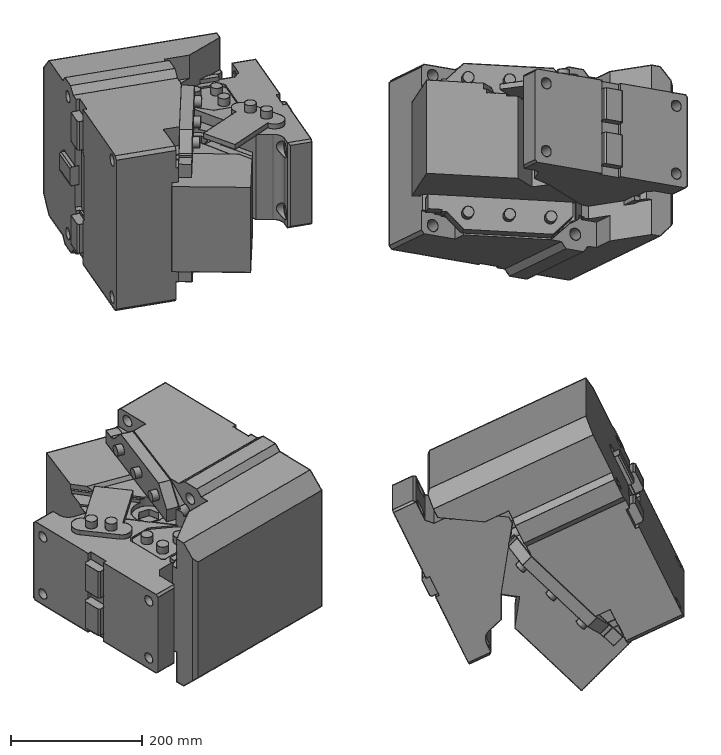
import cadquery as cq
import math


OVERALL_LENGTH = 397.0
EAR_SPAN = 290.0
KEY_RISE = 8.7

BASE_LENGTH = 345.5
BASE_DEPTH = 270.0
BASE_HEIGHT = 270.0
TOP = BASE_HEIGHT / 2
FRONT_CHAMFER = 25.5
BACK_CHAMFER = 6.0
END_CHAMFER = 5.0

PIT_RIM_X = 40.5
PIT_FLOOR_Y = 176.5
PIT_LEFT_X = 97.0
PIT_CAM_X = 109.5
CAM_ANGLE = 34.3
PIT_SLOPE = (BASE_DEPTH - PIT_FLOOR_Y) / (PIT_LEFT_X - PIT_RIM_X)

BED_ANGLE = 20.0
BED_X = 158.5
BED_Y = 168.0

HALF_WIDTH = 74.2
SLIDE_START = -37.5
SLIDE_SINK = 10.0
SLIDE_CREST = 110.5
SLIDE_SHOULDER_U = 72.0
SLIDE_CAM_END_X = 206.5

EAR_START = 91.3
EAR_FLAT_START = 101.0
EAR_FLAT_ENDS = {1: 127.5, -1: 131.5}
EAR_END = 140.0

GIB_INNER_Z = 79.5
GIB_OUTER_Z = 132.0
GIB_TAB_Z = 102.5
GIB_THICKNESS = 20.0
GIB_LEFT_CHAMFER = 30.0
GIB_RIGHT_START = 139.0
GIB_RIGHT_CHAMFER = 26.5
GIB_STEP_U = 172.3
GIB_END_U = 194.0
GIB_SCREW_Z = 107.0
GIB_SCREW_START = 5.0
GIB_SCREW_PITCH = 64.5
GIB_SCREW_RADIUS = 8.7
GIB_SCREW_HEAD = 11.0

POCKET_X = 78.0
POCKET_STEP_X = 104.5
POCKET_NOSE_X = 127.0
POCKET_NOSE_RADIUS = 11.0
POCKET_STEP = 2.0
NOTCH_Y = 96.0
NOTCH_STEPS = [(285.5, 102.5), (311.0, 101.0), (322.0, 99.2)]
HOLE_RADIUS = 9.5
HOLE_X = [115.0, 325.0]
HOLE_Z = 119.5

LEDGE_RIM_X = 49.5
STOP_Y = 260.5
STOP_LEFT_X = 55.5
STOP_RIGHT_X = 65.0
LEDGE_Z = 79.5
STOP_Z = 81.5

KEY_WIDTH = 33.0
KEY_LENGTH = 50.0
KEY_CHAMFER = 2.8
KEYWAY_DEPTH = 6.0
FOOT_KEYWAY_X = 170.3
FOOT_KEY_Z = 89.7
RELIEF_WIDTH = 41.3
RELIEF_HALF_LENGTH = 60.0
RELIEF_CHAMFER = 4.8
RELIEF_DEPTH = 10.0
CROSS_KEY_START = 100.5

FLANGE_LEFT = 15.5
FLANGE_RIGHT = 286.0
FLANGE_UNDER_Y = 296.5
FLANGE_FACE_Y = 334.5
FLANGE_CHAMFER = 3.5
NECK_LEFT_X = 61.0
NECK_CHAMFER = 10.5
NECK_FILLET = 18.3
NECK_FILLET_X = 268.0
NECK_LEAN = 71.6
NECK_CORNER_Y = 259.5
DRIVER_KEY_X = 151.0
DRIVER_KEY_Z = 35.5
BOLT_INSET_X = 20.0
BOLT_Z = 54.0
BOLT_RADIUS = 8.7
BOLT_HEAD_RADIUS = 13.0
BOLT_HEAD_DEPTH = 4.0

PLATE_TOP_Z = 82.5
SCREW_HEAD = 13.0
SCREW_RADIUS = 9.0
PLATE_THICKNESS = PLATE_TOP_Z - HALF_WIDTH
ARM_ANGLE = 35.0
ARM_X = 194.5
ARM_Y = 279.0
ARM_REACH = 100.0
ARM_WIDTH = 60.0
HEAD_SPACING = 62.0
HEAD_RADIUS = 16.0
ARM_SCREWS = [(182.2, 270.7), (207.5, 288.0)]
SHIELD_LEFT = 75.0
SHIELD_RIGHT = 150.0
SHIELD_BACK = 265.0
SHIELD_CHAMFER = 8.5
SHIELD_RECESS_CHAMFER = 4.5
SHIELD_FLOOR_Z = 63.5
SHIELD_TOP_Z = 71.5
SHIELD_SIDE_Y = 223.0
SHIELD_TIP_X = 124.0
SHIELD_SCREWS = [(95.5, 245.7), (130.2, 245.7), (95.5, 210.8)]

ARM_FLOOR_Z = 59.5
RIM_Z = 65.5
SIDE_FLOOR_Z = 68.3
CAM_BAND_Z = 56.5
ARM_RECESS_X = 235.5
ARM_RECESS_Y = 178.5
ARM_RECESS_ANGLE = 32.6
RIM_WIDTH = 3.5
SIDE_END_U = 104.8
SIDE_RAMP = 4.8
CAM_BAND_WIDTH = 20.5
SHOULDER_BAND_WIDTH = 14.5
BORE_X = 193.7
BORE_Y = 180.0
BORE_RADIUS = 26.5
BORE_FLOOR_Z = 51.5
SOCKET_ACROSS = 35.0
SOCKET_TURN = 13.0
SOCKET_FLOOR_Z = 39.5


def from_bed(u, v):
    """XY point at distance u down the bed and height v above it."""
    angle = math.radians(BED_ANGLE)
    x = BED_X + u * math.cos(angle) + v * math.sin(angle)
    return (x, BED_Y - u * math.sin(angle) + v * math.cos(angle))


def bed_y(x):
    return BED_Y - (x - BED_X) * math.tan(math.radians(BED_ANGLE))


def pit_y(x):
    """Height of the left pit wall at x."""
    return BASE_DEPTH - (x - PIT_RIM_X) * PIT_SLOPE


def cam_y(x):
    """Height of the face where driver and slide meet at x."""
    return PIT_FLOOR_Y + (x - PIT_CAM_X) * math.tan(math.radians(CAM_ANGLE))


def slab(points, z_low, z_high):
    """Polygon in XY, filled between two heights."""
    return cq.Workplane("XY").workplane(offset=z_low).polyline(points).close().extrude(z_high - z_low)


def block(x_low, x_high, y_low, y_high, z_low, z_high):
    size = (x_high - x_low, y_high - y_low, z_high - z_low)
    return cq.Workplane("XY").box(*size, centered=False).translate((x_low, y_low, z_low))


def plan(points, y_low, y_high):
    """Polygon in XZ, filled between two Y positions."""
    return cq.Workplane("XZ", origin=(0, y_low, 0)).polyline(points).close().extrude(y_low - y_high)


def both_sides(shape):
    """The shape together with its mirror image across the middle plane."""
    return shape.union(shape.mirror("XY"))


def post(points, radius, z_low, z_high):
    wp = cq.Workplane("XY").workplane(offset=z_low)
    return wp.pushPoints(points).circle(radius).extrude(z_high - z_low)


BED_COS = math.cos(math.radians(BED_ANGLE))
BED_SIN = math.sin(math.radians(BED_ANGLE))
SLIDE_END = (OVERALL_LENGTH - BED_X - SLIDE_CREST * BED_SIN) / BED_COS
SLIDE_FOOT = from_bed(SLIDE_START, 0)
TIP_RISE = (cam_y(SLIDE_FOOT[0]) - SLIDE_FOOT[1]) / (
    BED_COS - BED_SIN * math.tan(math.radians(CAM_ANGLE))
)
SLIDE_TIP = from_bed(SLIDE_START, TIP_RISE)
CAM_END = (SLIDE_CAM_END_X, cam_y(SLIDE_CAM_END_X))


def base_block():
    outline = [
        (0, 0),
        (BASE_LENGTH, 0),
        (BASE_LENGTH, bed_y(BASE_LENGTH)),
        (SLIDE_FOOT[0], bed_y(SLIDE_FOOT[0])),
        SLIDE_TIP,
        (PIT_CAM_X, PIT_FLOOR_Y),
        (PIT_LEFT_X, PIT_FLOOR_Y),
        (PIT_RIM_X, BASE_DEPTH),
        (0, BASE_DEPTH),
    ]
    body = slab(outline, -TOP, TOP)
    body = body.edges("|Y and <X").chamfer(FRONT_CHAMFER)
    body = body.edges("|Y and >X").chamfer(END_CHAMFER)
    return body.faces("<X").edges(">Y").chamfer(BACK_CHAMFER)


def ears():
    """Ridges along Y on the upper and lower faces, up to the pocket edge."""
    shape = cq.Workplane("XY")
    for side, flat_end in EAR_FLAT_ENDS.items():
        points = [
            (EAR_START, side * TOP),
            (EAR_FLAT_START, side * EAR_SPAN / 2),
            (flat_end, side * EAR_SPAN / 2),
            (EAR_END, side * TOP),
        ]
        root = [(EAR_END, 0), (EAR_START, 0)]
        shape = shape.add(plan(points + root, 0, BED_Y))
    return shape.combine()


def bolt_pocket():
    """Recess beside the pit. A rounded nose and a ramp lead from its floor to the upper face."""
    nose_top_z = TOP - (BED_X - POCKET_NOSE_X)
    floor_z = nose_top_z - POCKET_NOSE_RADIUS
    nose_rise = POCKET_NOSE_RADIUS * math.sin(math.pi / 4)
    ramp = (
        cq.Workplane("XZ", origin=(0, BED_Y, 0))
        .moveTo(POCKET_STEP_X, TOP)
        .lineTo(POCKET_STEP_X, floor_z)
        .lineTo(POCKET_NOSE_X - POCKET_NOSE_RADIUS, floor_z)
        .threePointArc((POCKET_NOSE_X - nose_rise, floor_z + nose_rise), (POCKET_NOSE_X, nose_top_z))
        .lineTo(BED_X, TOP)
        .close()
        .extrude(BED_Y - BASE_DEPTH)
    )
    floor = block(POCKET_X, POCKET_STEP_X, BED_Y, BASE_DEPTH, floor_z + POCKET_STEP, TOP)
    return both_sides(ramp.union(floor))


def end_notch():
    """Stepped recess for the mounting bolt at the low end of the bed."""
    shape = cq.Workplane("XY")
    for start_x, floor_z in NOTCH_STEPS:
        shape = shape.add(block(start_x, BASE_LENGTH, NOTCH_Y, BED_Y, floor_z, TOP))
    return both_sides(shape.combine())


def slide_channel():
    points = [
        from_bed(SLIDE_START, -SLIDE_SINK),
        from_bed(SLIDE_END, -SLIDE_SINK),
        from_bed(SLIDE_END, SLIDE_CREST),
        from_bed(SLIDE_START, SLIDE_CREST),
    ]
    return slab(points, -HALF_WIDTH, HALF_WIDTH)


def gib():
    """Guide bar on the bed with clipped outer corners and three screw heads."""
    low_left = GIB_OUTER_Z - GIB_LEFT_CHAMFER
    low_right = GIB_OUTER_Z - GIB_RIGHT_CHAMFER
    right_u = GIB_RIGHT_START + GIB_RIGHT_CHAMFER
    points = [
        (-GIB_LEFT_CHAMFER, GIB_INNER_Z),
        (-GIB_LEFT_CHAMFER, low_left),
        (0, GIB_OUTER_Z),
        (GIB_RIGHT_START, GIB_OUTER_Z),
        (right_u, low_right),
        (GIB_STEP_U, low_right),
        (GIB_STEP_U, GIB_TAB_Z),
        (GIB_END_U, GIB_TAB_Z),
        (GIB_END_U, GIB_INNER_Z),
    ]
    bar = plan(points, 0, GIB_THICKNESS)
    heads = [(GIB_SCREW_START + i * GIB_SCREW_PITCH, GIB_SCREW_Z) for i in range(3)]
    screws = cq.Workplane("XZ").pushPoints(heads).circle(GIB_SCREW_RADIUS)
    bar = bar.union(screws.extrude(-GIB_THICKNESS - GIB_SCREW_HEAD))
    return bar.rotate((0, 0, 0), (0, 0, 1), -BED_ANGLE).translate((BED_X, BED_Y, 0))


def pit_ledge():
    """Low ledge at the rim of the pit, and the stop plates beside the driver's neck."""
    ledge = [
        (PIT_RIM_X, BASE_DEPTH),
        (LEDGE_RIM_X, BASE_DEPTH),
        (STOP_LEFT_X, STOP_Y),
        (STOP_LEFT_X, pit_y(STOP_LEFT_X)),
    ]
    stop = [
        (STOP_LEFT_X, STOP_Y),
        (STOP_RIGHT_X, STOP_Y),
        (STOP_RIGHT_X, pit_y(STOP_RIGHT_X)),
        (STOP_LEFT_X, pit_y(STOP_LEFT_X)),
    ]
    return slab(ledge, -LEDGE_Z, LEDGE_Z).union(both_sides(slab(stop, HALF_WIDTH, STOP_Z)))


def foot_keyways():
    half_width = KEY_WIDTH / 2
    across = block(
        FOOT_KEYWAY_X - half_width, FOOT_KEYWAY_X + half_width, 0, KEYWAY_DEPTH, -TOP, TOP
    )
    relief = cq.Workplane("XZ").center(FOOT_KEYWAY_X, 0).rect(RELIEF_WIDTH, 2 * RELIEF_HALF_LENGTH)
    relief = relief.extrude(-RELIEF_DEPTH).edges("|Y").chamfer(RELIEF_CHAMFER)
    slot = block(CROSS_KEY_START, FOOT_KEYWAY_X, 0, KEYWAY_DEPTH, -half_width, half_width)
    slot_end = cq.Workplane("XZ").center(CROSS_KEY_START, 0).circle(half_width).extrude(-KEYWAY_DEPTH)
    return across.union(relief).union(slot).union(slot_end)


def foot_key(x, z, along):
    """Key in the foot face, its long side along X or Z."""
    size_x, size_z = (KEY_LENGTH, KEY_WIDTH) if along == "X" else (KEY_WIDTH, KEY_LENGTH)
    key = cq.Workplane("XY").box(size_x, KEYWAY_DEPTH + KEY_RISE, size_z)
    key = key.faces("<Y").edges("|" + along).chamfer(KEY_CHAMFER)
    return key.translate((x, (KEYWAY_DEPTH - KEY_RISE) / 2, z))


def make_base():
    body = base_block().union(ears())
    body = body.cut(bolt_pocket()).cut(end_notch()).cut(slide_channel())
    body = body.union(both_sides(gib())).union(pit_ledge())
    centres = [(x, side * HOLE_Z) for x in HOLE_X for side in (1, -1)]
    body = body.cut(cq.Workplane("XZ").pushPoints(centres).circle(HOLE_RADIUS).extrude(-BASE_DEPTH))
    body = body.cut(foot_keyways())
    for side in (1, -1):
        body = body.union(foot_key(FOOT_KEYWAY_X, side * FOOT_KEY_Z, "Z"))
    cross_key_x = CROSS_KEY_START + KEY_LENGTH / 2
    return body.union(foot_key(cross_key_x, 0, "X"))


def along_cam(point, along, normal, degrees=CAM_ANGLE):
    """Point moved along the cam direction and towards the driver."""
    angle = math.radians(degrees)
    x = point[0] + along * math.cos(angle) - normal * math.sin(angle)
    return (x, point[1] + along * math.sin(angle) + normal * math.cos(angle))


SHOULDER = from_bed(SLIDE_SHOULDER_U, SLIDE_CREST)
SHOULDER_DROP = (cam_y(SHOULDER[0]) - SHOULDER[1]) * math.cos(math.radians(CAM_ANGLE))


def cam_strip(start, top, bottom, z_floor, degrees=CAM_ANGLE):
    """Cutter along the cam direction, open at the upper face of the slide."""
    ends = [(0, top), (OVERALL_LENGTH, top), (OVERALL_LENGTH, bottom), (0, bottom)]
    points = [along_cam(start, along, normal, degrees) for along, normal in ends]
    return slab(points, z_floor, HALF_WIDTH)


def make_slide():
    outline = [
        from_bed(SLIDE_START, -SLIDE_SINK),
        from_bed(SLIDE_END, -SLIDE_SINK),
        from_bed(SLIDE_END, SLIDE_CREST),
        SHOULDER,
        along_cam(CAM_END, 0, -SHOULDER_DROP),
        CAM_END,
        SLIDE_TIP,
    ]
    body = slab(outline, -HALF_WIDTH, HALF_WIDTH)

    ramp_end_u = SIDE_END_U + SIDE_RAMP
    ramp = [
        (SLIDE_START, SIDE_FLOOR_Z),
        (SIDE_END_U, SIDE_FLOOR_Z),
        (ramp_end_u, HALF_WIDTH),
        (SLIDE_START, HALF_WIDTH),
    ]
    side_cut = plan(ramp, -SLIDE_SINK, SLIDE_CREST)
    side_cut = side_cut.rotate((0, 0, 0), (0, 0, 1), -BED_ANGLE).translate((BED_X, BED_Y, 0))
    reach = OVERALL_LENGTH
    arm_edge = along_cam((ARM_RECESS_X, ARM_RECESS_Y), -reach / 2, 0, ARM_RECESS_ANGLE)
    body = body.cut(side_cut.intersect(cam_strip(arm_edge, 0, -reach, 0, ARM_RECESS_ANGLE)))

    body = body.cut(cam_strip(arm_edge, reach, 0, RIM_Z, ARM_RECESS_ANGLE))
    body = body.cut(cam_strip(arm_edge, reach, RIM_WIDTH, ARM_FLOOR_Z, ARM_RECESS_ANGLE))
    cam_start = (PIT_CAM_X, PIT_FLOOR_Y)
    body = body.cut(cam_strip(cam_start, 0, -CAM_BAND_WIDTH, CAM_BAND_Z))
    band_bottom = -SHOULDER_DROP - SHOULDER_BAND_WIDTH
    body = body.cut(cam_strip(CAM_END, 0, band_bottom, CAM_BAND_Z))

    bore = post([(BORE_X, BORE_Y)], BORE_RADIUS, BORE_FLOOR_Z, HALF_WIDTH)
    socket = cq.Workplane("XY").polygon(6, SOCKET_ACROSS).extrude(BORE_FLOOR_Z - SOCKET_FLOOR_Z)
    socket = socket.rotate((0, 0, 0), (0, 0, 1), SOCKET_TURN).translate((BORE_X, BORE_Y, SOCKET_FLOOR_Z))
    return body.cut(bore).cut(socket)


def driver_block():
    lean = math.radians(NECK_LEAN)
    fillet_y = FLANGE_UNDER_Y - NECK_FILLET
    fillet_end = (NECK_FILLET_X - NECK_FILLET * math.sin(lean), fillet_y + NECK_FILLET * math.cos(lean))
    mid = math.pi / 2 + lean / 2
    fillet_mid = (NECK_FILLET_X + NECK_FILLET * math.cos(mid), fillet_y + NECK_FILLET * math.sin(mid))
    corner_x = fillet_end[0] - (fillet_end[1] - NECK_CORNER_Y) / math.tan(lean)
    profile = (
        cq.Workplane("XY", origin=(0, 0, -HALF_WIDTH))
        .moveTo(FLANGE_LEFT, FLANGE_FACE_Y)
        .lineTo(FLANGE_LEFT, FLANGE_UNDER_Y)
        .lineTo(NECK_LEFT_X - NECK_CHAMFER, FLANGE_UNDER_Y)
        .lineTo(NECK_LEFT_X, FLANGE_UNDER_Y - NECK_CHAMFER)
        .lineTo(NECK_LEFT_X, pit_y(NECK_LEFT_X))
        .lineTo(PIT_LEFT_X, PIT_FLOOR_Y)
        .lineTo(PIT_CAM_X, PIT_FLOOR_Y)
        .lineTo(*CAM_END)
        .lineTo(corner_x, NECK_CORNER_Y)
        .lineTo(*fillet_end)
        .threePointArc(fillet_mid, (NECK_FILLET_X, FLANGE_UNDER_Y))
        .lineTo(FLANGE_RIGHT, FLANGE_UNDER_Y)
        .lineTo(FLANGE_RIGHT, FLANGE_FACE_Y)
        .close()
    )
    body = profile.extrude(2 * HALF_WIDTH)
    for end in ("<X", ">X"):
        body = body.faces(end).edges("|Y or <Y").chamfer(FLANGE_CHAMFER)
    return body


def flange_bolts():
    """Four bolt holes through the flange, counterbored from its underside."""
    columns = [FLANGE_LEFT + BOLT_INSET_X, FLANGE_RIGHT - BOLT_INSET_X]
    centres = [(x, side * BOLT_Z) for x in columns for side in (1, -1)]
    hole = cq.Workplane("XZ", origin=(0, FLANGE_FACE_Y, 0)).pushPoints(centres).circle(BOLT_RADIUS)
    seat_y = FLANGE_UNDER_Y + BOLT_HEAD_DEPTH
    head = cq.Workplane("XZ", origin=(0, seat_y, 0)).pushPoints(centres).circle(BOLT_HEAD_RADIUS)
    depth = FLANGE_FACE_Y - FLANGE_UNDER_Y
    return hole.extrude(depth).union(head.extrude(BOLT_HEAD_DEPTH + NECK_FILLET))


def driver_key(z):
    key = cq.Workplane("XY").box(KEY_WIDTH, KEYWAY_DEPTH + KEY_RISE, KEY_LENGTH)
    key = key.faces(">Y").edges("|Z").chamfer(KEY_CHAMFER)
    return key.translate((DRIVER_KEY_X, FLANGE_FACE_Y + (KEY_RISE - KEYWAY_DEPTH) / 2, z))


def arm_plate():
    """Plate whose arm reaches from the driver over the slide."""
    head = cq.Workplane("XY").slot2D(HEAD_SPACING + 2 * HEAD_RADIUS, 2 * HEAD_RADIUS)
    arm = cq.Workplane("XY").center(0, -ARM_REACH / 2).rect(ARM_WIDTH, ARM_REACH)
    plate = head.extrude(PLATE_THICKNESS).union(arm.extrude(PLATE_THICKNESS))
    return plate.rotate((0, 0, 0), (0, 0, 1), ARM_ANGLE).translate((ARM_X, ARM_Y, HALF_WIDTH))


def shield_outline(corner):
    """Outline over the driver's tip, its two back corners clipped."""
    return [
        (SHIELD_LEFT, pit_y(SHIELD_LEFT)),
        (SHIELD_LEFT, SHIELD_BACK - corner),
        (SHIELD_LEFT + corner, SHIELD_BACK),
        (SHIELD_RIGHT - corner, SHIELD_BACK),
        (SHIELD_RIGHT, SHIELD_BACK - corner),
        (SHIELD_RIGHT, SHIELD_SIDE_Y),
        (SHIELD_TIP_X, cam_y(SHIELD_TIP_X)),
        (PIT_CAM_X, PIT_FLOOR_Y),
        (PIT_LEFT_X, PIT_FLOOR_Y),
    ]


def make_driver():
    half_key = KEY_WIDTH / 2
    keyway = block(
        DRIVER_KEY_X - half_key,
        DRIVER_KEY_X + half_key,
        FLANGE_FACE_Y - KEYWAY_DEPTH,
        FLANGE_FACE_Y,
        -HALF_WIDTH,
        HALF_WIDTH,
    )
    body = driver_block().cut(flange_bolts()).cut(keyway)
    for side in (1, -1):
        body = body.union(driver_key(side * DRIVER_KEY_Z))
    body = body.union(arm_plate())
    body = body.union(post(ARM_SCREWS, SCREW_RADIUS, HALF_WIDTH, PLATE_TOP_Z + SCREW_HEAD))
    body = body.cut(slab(shield_outline(SHIELD_RECESS_CHAMFER), SHIELD_FLOOR_Z, HALF_WIDTH))
    body = body.union(slab(shield_outline(SHIELD_CHAMFER), SHIELD_FLOOR_Z, SHIELD_TOP_Z))
    return body.union(post(SHIELD_SCREWS, SCREW_RADIUS, SHIELD_TOP_Z, SHIELD_TOP_Z + SCREW_HEAD))


base = make_base()
slide = make_slide()
driver = make_driver()

result = cq.Compound.makeCompound([base.solids().val(), slide.solids().val(), driver.solids().val()])